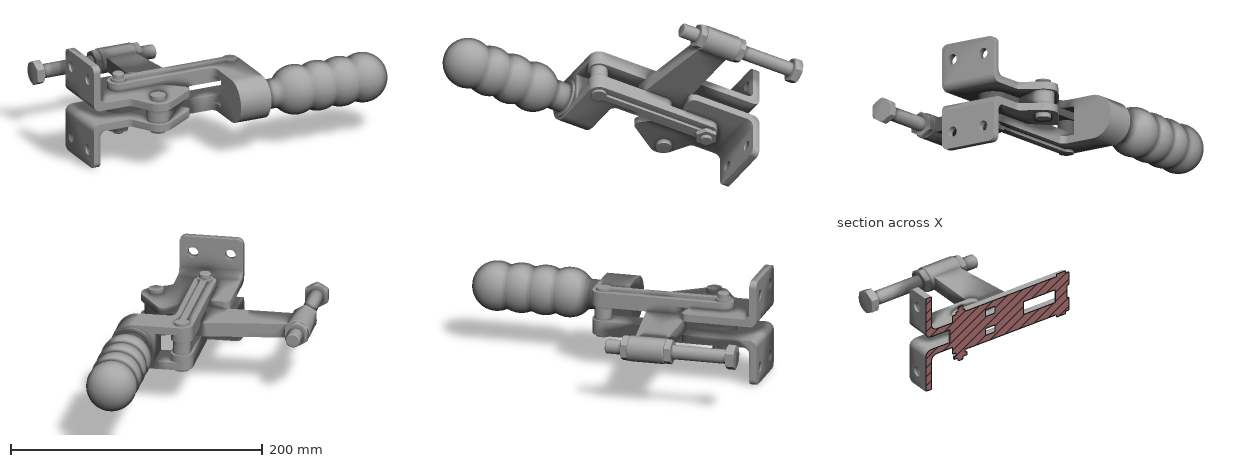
import cadquery as cq
import math


arm_half = 5.76
sheet = 6.0
leg_thickness = 6.2
strip_thickness = 2.25
bracket_face = arm_half + sheet
fork_face = bracket_face + leg_thickness
strip_face = fork_face + strip_thickness

base_half_height = 43.26
base_left = -25.2
base_right = 26.3
bend_inner_radius = 5.3
bend_outer_radius = 5.9
base_corner_radius = 5.0
cheek_corner_radius = 5.0
cheek_waist_y = 32.4
cheek_eye_corner = (53.3, 48.8)
cheek_peak = (26.05, 87.8)
cheek_valley = (0.5, 58.6)
cheek_left_y = 63.7
hole_diameter = 8.5
hole_x_center = 0.2
hole_x_spacing = 30.2
hole_z = 30.0

pivot_y = 34.5
arm_pin_x = 36.4
arm_pin_y = 52.1
arm_pin_radius = 6.2
arm_pin_half_length = 15.6
arm_eye_radius = 9.0
bracket_eye_radius = 11.5
pivot_pin_radius = 4.7
pivot_pin_top = 24.6
pivot_pin_bottom = -26.3
pivot_pin_chamfer = 0.6
pivot_nut_flats = 15.5
pivot_nut_height = 3.4

arm_bottom_y = 61.1
arm_top_slope = math.radians(8.0)
arm_peak_y = 97.0
arm_lobe_radius = 11.5
upper_tangent = math.radians(47)
lower_tangent = math.radians(245)

spindle_x = -84.73
spindle_radius = 5.75
spindle_top = 107.3
spindle_chamfer = 0.8
spindle_flats = 18.0
hexagon_sides = 6
hexagon_chamfer_angle = math.radians(30)
head_height = 7.0
sleeve_radius = 10.25
sleeve_bottom = 57.9
sleeve_length = 30.2
sleeve_chamfer = 0.5
lock_nut_height = 5.6

fork_half_width = 8.9
fork_length = 98.9
link_end_y = 76.3
fork_height = 26.6
fork_inner_radius = 5.0
spacer_radius = 7.0
hub_start_x = 20.4
handle_x = 38.5

strip_half_width = 2.65
strip_end_radius = 6.0
strip_fillet = 1.5

washer_radius = 15.8
washer_height = 1.6
neck_radius = 12.0
neck_flare_radius = 12.9
neck_flare_height = 2.0
lobe_radius = 20.2
lobe_pitch = 20.0
lobe_count = 4
groove_half_width = 1.0
handle_top = 251.96

coincident = 1e-6

upper_pin_y = pivot_y + fork_length
fork_top = upper_pin_y + fork_half_width


def rounded_outline(corners):
    """Closed XY outline through (x, y, radius) corners, each rounded by its radius."""
    spans = []
    for i, (x, y, radius) in enumerate(corners):
        corner = cq.Vector(x, y)
        before = (cq.Vector(*corners[i - 1][:2]) - corner).normalized()
        after = (cq.Vector(*corners[(i + 1) % len(corners)][:2]) - corner).normalized()
        if radius == 0:
            spans.append((corner, None, corner))
            continue
        half_angle = before.getAngle(after) / 2
        reach = radius / math.tan(half_angle)
        bulge = radius / math.sin(half_angle) - radius
        middle = corner + (before + after).normalized() * bulge
        spans.append((corner + before * reach, middle, corner + after * reach))
    position = spans[0][2]
    outline = cq.Workplane("XY").moveTo(*position.toTuple()[:2])
    for start, middle, end in spans[1:] + spans[:1]:
        if (start - position).Length > coincident:
            outline = outline.lineTo(*start.toTuple()[:2])
        position = end
        if middle is not None:
            outline = outline.threePointArc(middle.toTuple()[:2], end.toTuple()[:2])
    return outline.close()


def between(outline, low, high):
    """Extrude an XY outline from Z = low to Z = high."""
    return outline.extrude(high - low).translate((0, 0, low))


def both_sides(body):
    """The body together with its mirror image about the middle plane."""
    return body.union(body.mirror("XY"))


def disc(x, y, radius, low, high):
    """Cylinder along Z."""
    return between(cq.Workplane("XY").center(x, y).circle(radius), low, high)


def column(x, radius, low, high):
    """Cylinder along Y, centred on Z = 0."""
    return cq.Workplane("XZ").center(x, 0).circle(radius).extrude(low - high).translate((0, low, 0))


def bracket():
    """Upper base bracket: an upright plate and a bent mounting flange with two holes."""
    cheek = rounded_outline([
        (base_left, 0, 0),
        (base_right, 0, 0),
        (base_right, cheek_waist_y, cheek_corner_radius),
        (*cheek_eye_corner, bracket_eye_radius),
        (*cheek_peak, cheek_corner_radius),
        (*cheek_valley, 0),
        (base_left, cheek_left_y, cheek_corner_radius),
    ])
    cheek = between(cheek, arm_half, bracket_face)
    width = base_right - base_left
    flange = (
        cq.Workplane("XY")
        .box(width, sheet, base_half_height - arm_half, centered=False)
        .translate((base_left, 0, arm_half))
        .edges("|Y and >Z")
        .fillet(base_corner_radius)
    )
    holes = (
        cq.Workplane("XZ")
        .pushPoints([(hole_x_center + side * hole_x_spacing / 2, hole_z) for side in (-1, 1)])
        .circle(hole_diameter / 2)
        .extrude(-sheet)
    )
    body = cheek.union(flange)
    bend_inside = cq.selectors.NearestToPointSelector((0, sheet, bracket_face))
    bend_outside = cq.selectors.NearestToPointSelector((0, 0, arm_half))
    body = body.edges(bend_inside).fillet(bend_inner_radius)
    body = body.edges(bend_outside).fillet(bend_outer_radius)
    return body.cut(holes)


def eye_point(angle):
    """Point on the arm eye in the given direction from the arm pin."""
    return (arm_pin_x + arm_eye_radius * math.cos(angle), arm_pin_y + arm_eye_radius * math.sin(angle))


def clamping_arm():
    """Flat arm with a round lobe about the main pivot and an eye about the arm pin."""
    lower_eye = eye_point(lower_tangent)
    flat_slope = -1 / math.tan(lower_tangent)
    lobe_flat_y = lower_eye[1] + flat_slope * (arm_lobe_radius - lower_eye[0])
    outline = (
        cq.Workplane("XY")
        .moveTo(spindle_x, arm_bottom_y)
        .lineTo(-arm_lobe_radius, arm_bottom_y)
        .lineTo(-arm_lobe_radius, pivot_y)
        .threePointArc((0, pivot_y - arm_lobe_radius), (arm_lobe_radius, pivot_y))
        .lineTo(arm_lobe_radius, lobe_flat_y)
        .lineTo(*lower_eye)
        .threePointArc(eye_point((upper_tangent + lower_tangent) / 2 - math.pi), eye_point(upper_tangent))
        .lineTo(0, arm_peak_y)
        .lineTo(spindle_x, arm_peak_y + spindle_x * math.tan(arm_top_slope))
        .close()
    )
    return between(outline, -arm_half, arm_half)


def chamfered_hexagon(low, high):
    """Hexagon along Y on the spindle axis, flats facing -X and +X, corners taken off at both ends."""
    prism = (
        cq.Workplane("XZ")
        .transformed(rotate=(0, 0, 90))
        .polygon(hexagon_sides, 2 * spindle_flats / math.sqrt(3))
        .extrude(low - high)
        .translate((0, low, 0))
    )
    face_radius = spindle_flats / 2
    half_height = (high - low) / 2
    cone_spread = half_height / math.tan(hexagon_chamfer_angle)
    double_cone = (
        cq.Workplane("XY")
        .polyline([
            (0, low),
            (face_radius, low),
            (face_radius + cone_spread, low + half_height),
            (face_radius, high),
            (0, high),
        ])
        .close()
        .revolve(360, (0, 0, 0), (0, 1, 0))
    )
    return prism.intersect(double_cone).translate((spindle_x, 0, 0))


def spindle():
    """Hexagon-headed bolt with its sleeve and two lock nuts."""
    sleeve_top = sleeve_bottom + sleeve_length
    shank = column(spindle_x, spindle_radius, 0, spindle_top).faces(">Y").chamfer(spindle_chamfer)
    sleeve = column(spindle_x, sleeve_radius, sleeve_bottom, sleeve_top)
    sleeve = sleeve.faces("<Y or >Y").chamfer(sleeve_chamfer)
    head = chamfered_hexagon(0, head_height)
    upper_nut = chamfered_hexagon(sleeve_top, sleeve_top + lock_nut_height)
    lower_nut = chamfered_hexagon(sleeve_bottom - lock_nut_height, sleeve_bottom)
    return shank.union(sleeve).union(head).union(upper_nut).union(lower_nut)


def fork_leg():
    """Upper outer leg: L-shaped plate from the pivot to the upper pin and across to the hub."""
    w = fork_half_width
    outline = rounded_outline([
        (hub_start_x, fork_top, 0),
        (-w, fork_top, w),
        (-w, pivot_y - w, w),
        (w, pivot_y - w, w),
        (w, fork_top - fork_height, fork_inner_radius),
        (hub_start_x, fork_top - fork_height, 0),
    ])
    return between(outline, bracket_face, fork_face)


def inner_link():
    """Upper straight link with round ends, lying under the leg."""
    length = upper_pin_y - link_end_y
    outline = (
        cq.Workplane("XY")
        .center(0, link_end_y + length / 2)
        .slot2D(length + 2 * fork_half_width, 2 * fork_half_width, 90)
    )
    return between(outline, arm_half, bracket_face)


def fork():
    """Handle fork: outer legs to the pivot, shorter inner links, spacer and handle hub."""
    legs = both_sides(fork_leg())
    links = both_sides(inner_link())
    spacer = disc(0, upper_pin_y, spacer_radius, -arm_half, arm_half)
    hub = (
        cq.Workplane("XZ")
        .moveTo(hub_start_x, -fork_face)
        .lineTo(handle_x, -fork_face)
        .threePointArc((handle_x + fork_face, 0), (handle_x, fork_face))
        .lineTo(hub_start_x, fork_face)
        .close()
        .extrude(fork_height)
        .translate((0, fork_top, 0))
    )
    return legs.union(links).union(spacer).union(hub)


def strip():
    """Narrow raised strip with a round pad at each end."""
    body = between(
        cq.Workplane("XY").center(0, pivot_y + fork_length / 2).rect(2 * strip_half_width, fork_length),
        fork_face, strip_face,
    )
    for y in (pivot_y, upper_pin_y):
        body = body.union(disc(0, y, strip_end_radius, fork_face, strip_face))
    neck_corners = cq.selectors.BoxSelector(
        (-strip_end_radius, pivot_y, fork_face),
        (strip_end_radius, upper_pin_y, strip_face),
    )
    return body.edges("|Z").edges(neck_corners).fillet(strip_fillet)


def pins():
    """Arm pin, and the pivot pin with its nut on the -Z side."""
    arm_pin = disc(arm_pin_x, arm_pin_y, arm_pin_radius, -arm_pin_half_length, arm_pin_half_length)
    pivot_pin = disc(0, pivot_y, pivot_pin_radius, pivot_pin_bottom, pivot_pin_top)
    pivot_pin = pivot_pin.faces("<Z or >Z").chamfer(pivot_pin_chamfer)
    corners = cq.Workplane("XY").center(0, pivot_y).transformed(rotate=(0, 0, 90))
    nut = corners.polygon(hexagon_sides, pivot_nut_flats * 2 / math.sqrt(3))
    nut = between(nut, -strip_face - pivot_nut_height, -strip_face)
    return arm_pin.union(pivot_pin).union(nut)


def handle():
    """Washer, neck and grip of overlapping balls, turned about the handle axis."""
    top_center = handle_top - lobe_radius
    first_center = top_center - (lobe_count - 1) * lobe_pitch
    washer_top = fork_top + washer_height
    groove_offset = lobe_pitch / 2 - groove_half_width
    groove_radius = math.sqrt(lobe_radius**2 - groove_offset**2)
    flare_y = first_center - math.sqrt(lobe_radius**2 - neck_flare_radius**2)
    profile = (
        cq.Workplane("XY")
        .moveTo(0, fork_top)
        .lineTo(washer_radius, fork_top)
        .lineTo(washer_radius, washer_top)
        .lineTo(neck_radius, washer_top)
        .lineTo(neck_radius, flare_y - neck_flare_height)
        .lineTo(neck_flare_radius, flare_y)
    )
    for i in range(lobe_count):
        center = first_center + i * lobe_pitch
        if i > 0:
            profile = profile.lineTo(groove_radius, center - groove_offset)
        if i < lobe_count - 1:
            profile = profile.threePointArc((lobe_radius, center), (groove_radius, center + groove_offset))
        else:
            profile = profile.threePointArc((lobe_radius, center), (0, handle_top))
    grip = profile.close().revolve(360, (0, 0, 0), (0, 1, 0))
    return grip.translate((handle_x, 0, 0))


result = (
    both_sides(bracket())
    .union(clamping_arm())
    .union(spindle())
    .union(fork())
    .union(both_sides(strip()))
    .union(pins())
    .union(handle())
)